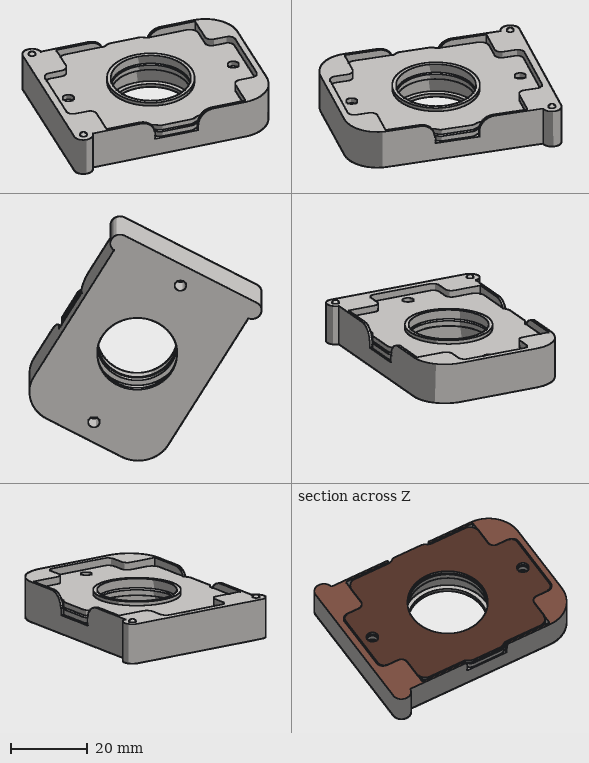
import cadquery as cq
import math


overall_width = 44.6
overall_length = 56.45
back_y = 28.1
front_y = back_y - overall_length
body_width = 40.3
back_corner_radius = 9.0
ear_radius = 2.5
ear_depth = 5.1
ear_y = front_y + ear_depth / 2

overall_height = 11.45
front_height = 10.8
back_height = 10.95
pocket_floor_z = 5.1
bore_ledge_z = 1.0

dome_base_radius = 0.95
dome_x = overall_width / 2 - ear_radius
dome_height = overall_height - front_height

pocket_half_width = 19.4
pocket_half_depth = 19.25
pocket_arm_half_width = 10.0
pocket_arm_half_length = 26.35
arm_fillet = 1.8

window_half_width = 6.05
window_round_radius = 4.0
window_back_step = 0.15

plate_clearance = 0.2
plate_corner_radius = 2.5
plate_thickness = 1.45
lower_plate_z = 5.5
upper_plate_z = 7.5
plate_half_width = pocket_half_width - plate_clearance
plate_arm_half_length = pocket_arm_half_length - plate_clearance
tab_half_width = body_width / 2
tab_flat_half_length = 3.95
tab_base_half_length = 8.45
tab_blend_radius = 2.05
tab_rise = tab_half_width - plate_half_width
tab_blend_length = math.sqrt(tab_rise * (4 * tab_blend_radius - tab_rise))

bore_diameter = 20.9
housing_bore_diameter = 23.4
collar_diameter = 22.9
collar_height = 1.0
pin_hole_diameter = 3.0
pin_hole_y = 22.85


def box(x_min, x_max, y_min, y_max, z_min, z_max):
    """Block given by its limits along each axis."""
    size = (x_max - x_min, y_max - y_min, z_max - z_min)
    return cq.Workplane("XY").box(*size, centered=False).translate((x_min, y_min, z_min))


def cylinder(diameter, z_min, z_max, x=0.0, y=0.0):
    """Upright cylinder."""
    return cq.Workplane("XY", origin=(x, y, z_min)).circle(diameter / 2).extrude(z_max - z_min)


def pin_holes(z_min, z_max):
    """Cutter for the two small holes on the centre line."""
    holes = cylinder(pin_hole_diameter, z_min, z_max, y=pin_hole_y)
    return holes.union(cylinder(pin_hole_diameter, z_min, z_max, y=-pin_hole_y))


def cross_prism(half_width, half_depth, arm_half_width, arm_half_length, fillet, z_min, z_max):
    """Wide rectangle with a narrower arm at the front and back, rounded at the arms."""
    middle = box(-half_width, half_width, -half_depth, half_depth, z_min, z_max)
    arms = box(-arm_half_width, arm_half_width, -arm_half_length, arm_half_length, z_min, z_max)
    margin = 0.55
    arm_corners = cq.selectors.BoxSelector(
        (-arm_half_width - margin, -arm_half_length - margin, z_min - margin),
        (arm_half_width + margin, arm_half_length + margin, z_max + margin),
    )
    return middle.union(arms).edges("|Z").edges(arm_corners).fillet(fillet)


def housing_block():
    """Solid outer shape with rounded back corners, two ears and a slightly taller back half."""
    half_width = body_width / 2
    block = box(-half_width, half_width, front_y, back_y, 0, back_height)
    block = block.edges("|Z and >Y").fillet(back_corner_radius)
    block = block.cut(box(-half_width, half_width, front_y, 0, front_height, back_height))
    ears = box(-overall_width / 2, overall_width / 2, front_y, front_y + ear_depth, 0, front_height)
    ears = ears.edges("|Z").fillet(ear_radius)
    block = block.cut(box(-half_width, half_width, front_y, ear_y, 0, front_height))
    return block.union(ears)


def cap_middle():
    """Point half way along the dome's profile arc."""
    sphere_radius = (dome_base_radius**2 + dome_height**2) / (2 * dome_height)
    half_angle = math.asin(dome_base_radius / sphere_radius) / 2
    return (
        sphere_radius * math.sin(half_angle),
        dome_height - sphere_radius * (1 - math.cos(half_angle)),
    )


def dome(x):
    """Spherical cap standing on an ear."""
    return (
        cq.Workplane("XZ")
        .moveTo(0, 0)
        .lineTo(dome_base_radius, 0)
        .threePointArc(cap_middle(), (0, dome_height))
        .close()
        .revolve(360, (0, 0), (0, 1))
        .translate((x, ear_y, front_height))
    )


def window_cutter():
    """Slot through both side walls whose upper corners flare outwards in quarter rounds."""
    w = window_half_width
    r = window_round_radius
    bend = r * (1 - math.sqrt(0.5))
    front_bottom = front_height - r
    back_bottom = back_height - r
    return (
        cq.Workplane("YZ")
        .moveTo(-w, pocket_floor_z)
        .lineTo(w - window_back_step, pocket_floor_z)
        .lineTo(w - window_back_step, back_bottom)
        .lineTo(w, back_bottom)
        .threePointArc((w + bend, back_height - bend), (w + r, back_height))
        .lineTo(-w - r, back_height)
        .lineTo(-w - r, front_height)
        .threePointArc((-w - bend, front_height - bend), (-w, front_bottom))
        .close()
        .extrude(body_width / 2, both=True)
    )


def make_housing():
    """Tray with the plate pocket, finger windows, stepped bore, small holes and domes."""
    pocket = cross_prism(
        pocket_half_width, pocket_half_depth, pocket_arm_half_width, pocket_arm_half_length,
        arm_fillet, pocket_floor_z, back_height,
    )
    housing = housing_block().cut(pocket).cut(window_cutter())
    housing = housing.cut(cylinder(bore_diameter, 0, bore_ledge_z))
    housing = housing.cut(cylinder(housing_bore_diameter, bore_ledge_z, pocket_floor_z))
    housing = housing.cut(pin_holes(0, pocket_floor_z))
    return housing.union(dome(-dome_x)).union(dome(dome_x))


def tab(side, z):
    """Finger tab at one side of a plate, blended into the plate edge by S-shaped pairs of arcs."""
    edge_x = side * plate_half_width
    tab_x = side * tab_half_width
    inflection_x = (edge_x + tab_x) / 2
    root_y = tab_flat_half_length + tab_blend_length
    inflection_y = tab_flat_half_length + tab_blend_length / 2
    profile = (
        cq.Workplane("XY", origin=(0, 0, z))
        .moveTo(0, -tab_base_half_length)
        .lineTo(edge_x, -tab_base_half_length)
        .lineTo(edge_x, -root_y)
        .tangentArcPoint((inflection_x, -inflection_y), relative=False)
        .tangentArcPoint((tab_x, -tab_flat_half_length), relative=False)
        .lineTo(tab_x, tab_flat_half_length)
        .tangentArcPoint((inflection_x, inflection_y), relative=False)
        .tangentArcPoint((edge_x, root_y), relative=False)
        .lineTo(edge_x, tab_base_half_length)
        .lineTo(0, tab_base_half_length)
        .close()
    )
    return profile.extrude(plate_thickness)


def make_plate(z):
    """Loose plate that follows the pocket, with a tab in each window."""
    top = z + plate_thickness
    plate = cross_prism(
        plate_half_width, pocket_half_depth, pocket_arm_half_width, plate_arm_half_length,
        arm_fillet, z, top,
    )
    plate = plate.edges("|Z and (<X or >X)").fillet(plate_corner_radius)
    plate = plate.union(tab(-1, z)).union(tab(1, z))
    return plate.cut(cylinder(bore_diameter, z, top)).cut(pin_holes(z, top))


def make_upper_plate():
    """Plate with a raised collar around its bore."""
    top = upper_plate_z + plate_thickness
    collar_top = top + collar_height
    collar = cylinder(collar_diameter, top, collar_top).cut(cylinder(bore_diameter, top, collar_top))
    return make_plate(upper_plate_z).union(collar)


housing = make_housing()
lower_plate = make_plate(lower_plate_z)
upper_plate = make_upper_plate()
result = cq.Compound.makeCompound([housing.val(), lower_plate.val(), upper_plate.val()])